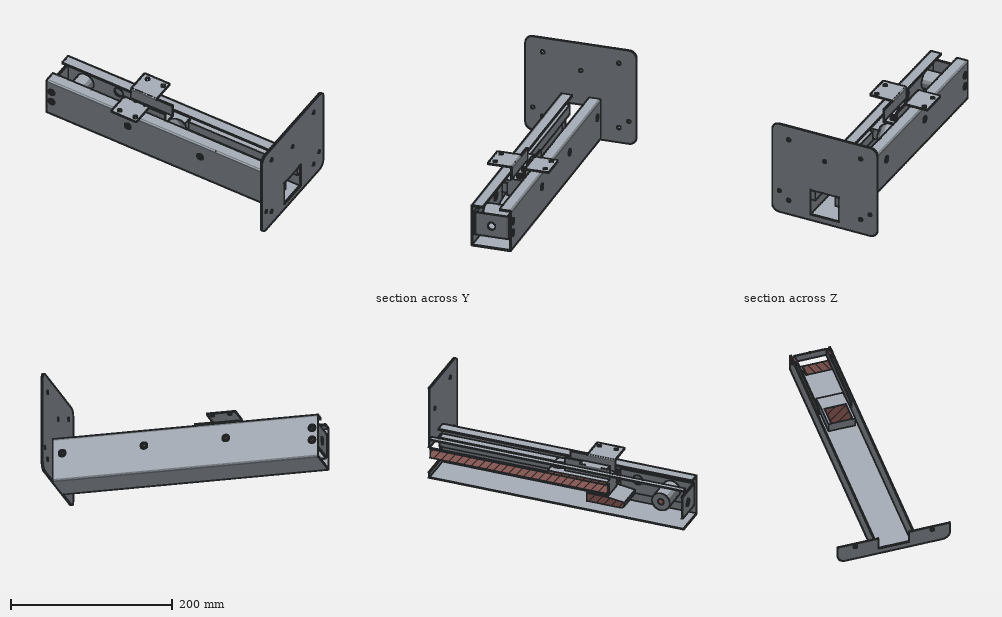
import cadquery as cq
import math

channel_length = 340.0
channel_width = 52.5
channel_height = 55.9
sheet = 2.0
channel_bend = 2.0
slot_width = 22.0

plate_width = 146.0
plate_height = 128.0
plate_thickness = 2.0
plate_corner = 10.0
window_width = 40.0
window_bottom = 8.0
window_top = 44.0
mount_hole = 5.0
mount_spacing_y = 100.0
mount_heights = (20.3, 108.6)
side_hole = 4.5
side_spacing_y = 126.0
side_hole_height = 30.8
top_hole_height = 90.7

channel_inside = channel_width / 2 - sheet
rail_inner = 14.0
rail_start = 101.0
rail_bottom = 29.0
rail_top = 42.0

screw_head = 9.0
screw_core = 6.5
screw_socket = 4.0
screw_groove = 0.4
socket_depth = 1.2
rail_screw_height = (rail_bottom + rail_top) / 2
end_screw_x = 7.3
screw_places = [(118.0, rail_screw_height), (223.0, rail_screw_height), (328.0, rail_screw_height),
                (end_screw_x, 22.5), (end_screw_x, 38.3)]

cap_front = 1.0
cap_bottom = 15.5
cap_top = 46.0
cap_half_width = 22.2
cap_bend = 2.0
cheek_end = 100.0
cable_hole = 10.0
cable_hole_height = 30.0
cheek_hole = 13.0
cheek_hole_x = 76.5
cheek_hole_height = 35.0
pad_front = cap_front + cap_bend
pad_end = 14.0
pad_bend = 1.0
roller_radius = 12.0
roller_x = 30.4
roller_z = 33.5
roller_width = 34.0
axle_radius = 4.0

block_start = 102.0
block_end = 182.0
block_top = cap_top
block_thickness = 14.0
block_lip_width = 35.0
bore_radius = 7.8
bore_edge_x = 161.5
bore_angle = 45.0
bore_length = 80.0

tongue_start = 79.0
tongue_end = 130.0
tongue_bottom = 13.0
tongue_width = 35.0
tongue_nose_height = 9.0
tongue_rise = 3.0
tongue_nose_radius = 6.0

hat_sheet = 2.0
hat_bend = 1.9
hat_half_width = 9.8
hat_length = 60.0
hat_web_top = 64.0
wing_thickness = 1.5
wing_top = 65.0
wing_length = 37.0
wing_span = 80.0
wing_corner = 1.5
wing_hole = 5.0
wing_hole_x = (110.7, 133.4)
wing_hole_spacing = 66.0

bolt_places = (111.6, 131.4, 151.2)
washer_diameter = 10.0
washer_height = 1.0
bolt_head = 8.0
bolt_head_height = 2.0
bolt_socket = 4.0


def box(x0, x1, y0, y1, z0, z1):
    """Block between two opposite corners."""
    return cq.Workplane("XY").box(x1 - x0, y1 - y0, z1 - z0, centered=False).translate((x0, y0, z0))


def cylinder_y(x, z, diameter, y0, y1):
    """Cylinder along Y between y0 and y1."""
    direction = cq.Vector(0, 1, 0)
    return cq.Workplane(cq.Solid.makeCylinder(diameter / 2, y1 - y0, cq.Vector(x, y0, z), direction))


def cylinder_x(y, z, diameter, x0, x1):
    """Cylinder along X between x0 and x1."""
    direction = cq.Vector(1, 0, 0)
    return cq.Workplane(cq.Solid.makeCylinder(diameter / 2, x1 - x0, cq.Vector(x0, y, z), direction))


def cylinder_z(x, y, diameter, z0, z1):
    """Cylinder along Z between z0 and z1."""
    return cq.Workplane(cq.Solid.makeCylinder(diameter / 2, z1 - z0, cq.Vector(x, y, z0)))


def make_channel():
    """C-channel that is open along the middle of its top."""
    half = channel_width / 2
    channel = box(0, channel_length, -half, half, 0, channel_height).edges("|X").fillet(channel_bend)
    cavity = box(0, channel_length, -channel_inside, channel_inside, sheet, channel_height - sheet)
    slot = box(0, channel_length, -slot_width / 2, slot_width / 2, sheet, channel_height)
    return channel.cut(cavity).cut(slot)


def make_wall_plate():
    """Rounded plate with mounting holes and a window into the channel."""
    back = channel_length + plate_thickness
    half = plate_width / 2
    plate = box(channel_length, back, -half, half, 0, plate_height).edges("|X").fillet(plate_corner)
    window_half = window_width / 2
    plate = plate.cut(box(channel_length, back, -window_half, window_half, window_bottom, window_top))
    plate = plate.cut(cylinder_x(0, top_hole_height, side_hole, channel_length, back))
    for side in (-1, 1):
        y_side = side * side_spacing_y / 2
        plate = plate.cut(cylinder_x(y_side, side_hole_height, side_hole, channel_length, back))
        for height in mount_heights:
            y_mount = side * mount_spacing_y / 2
            plate = plate.cut(cylinder_x(y_mount, height, mount_hole, channel_length, back))
    return plate


def outer_cut_range(side, depth):
    """Y range that reaches a given depth into one outer side of the channel."""
    face = channel_width / 2
    if side > 0:
        return face - depth, face
    return -face, depth - face


def cut_screw_heads(body):
    """Flush screw heads on both sides: a ring groove around a socket."""
    for side in (-1, 1):
        groove_range = outer_cut_range(side, screw_groove)
        socket_range = outer_cut_range(side, socket_depth)
        for x, z in screw_places:
            core = cylinder_y(x, z, screw_core, *groove_range)
            ring = cylinder_y(x, z, screw_head, *groove_range).cut(core)
            body = body.cut(ring).cut(cylinder_y(x, z, screw_socket, *socket_range))
    return body


def make_housing():
    """Channel, wall plate and the two guide rails along the inner walls."""
    rail = box(rail_start, channel_length, rail_inner, channel_inside, rail_bottom, rail_top)
    housing = make_channel().union(make_wall_plate()).union(rail).union(rail.mirror("XZ"))
    return cut_screw_heads(housing)


def make_end_frame():
    """U-shaped cap with side pads against the channel, and the roller on its axle."""
    frame = box(cap_front, cheek_end, -cap_half_width, cap_half_width, cap_bottom, cap_top)
    frame = frame.edges("|Z and <X").fillet(cap_bend)
    inner_half = cap_half_width - sheet
    frame = frame.cut(box(cap_front + sheet, cheek_end, -inner_half, inner_half, cap_bottom, cap_top))

    pad = box(pad_front, pad_end, inner_half, channel_inside, cap_bottom - pad_bend, cap_top)
    pad = pad.edges("|X and >Y").fillet(pad_bend)
    frame = frame.union(pad).union(pad.mirror("XZ"))

    frame = frame.cut(cylinder_x(0, cable_hole_height, cable_hole, cap_front, cap_front + sheet))
    for y0, y1 in ((-cap_half_width, -inner_half), (inner_half, cap_half_width)):
        frame = frame.cut(cylinder_y(cheek_hole_x, cheek_hole_height, cheek_hole, y0, y1))

    roller = cylinder_y(roller_x, roller_z, 2 * roller_radius, -roller_width / 2, roller_width / 2)
    axle = cylinder_y(roller_x, roller_z, 2 * axle_radius, -cap_half_width, cap_half_width)
    return frame.union(roller).union(axle)


def make_block():
    """Carriage block between the rails, with a top lip over them and a bore sloping down through its end."""
    bottom = block_top - block_thickness
    block = box(block_start, block_end, -rail_inner, rail_inner, bottom, block_top)
    lip_half = block_lip_width / 2
    block = block.union(box(block_start, block_end, -lip_half, lip_half, rail_top, block_top))
    slope = math.radians(bore_angle)
    along = cq.Vector(math.cos(slope), 0, -math.sin(slope))
    across = cq.Vector(math.sin(slope), 0, math.cos(slope))
    axis_point = cq.Vector(bore_edge_x, 0, block_top) + across * bore_radius
    bore_start = axis_point - along * (bore_length / 2)
    return block.cut(cq.Workplane(cq.Solid.makeCylinder(bore_radius, bore_length, bore_start, along)))


def make_tongue():
    """Low tongue under the rails, with a rounded nose and a sloped top, hung from the block."""
    nose_top = tongue_bottom + tongue_nose_height
    ramp_top = nose_top + tongue_rise
    tongue = (cq.Workplane("XZ")
              .moveTo(tongue_start, tongue_bottom)
              .lineTo(tongue_end, tongue_bottom)
              .lineTo(tongue_end, ramp_top)
              .lineTo(block_start, ramp_top)
              .lineTo(tongue_start, nose_top)
              .close()
              .extrude(tongue_width / 2, both=True))
    tongue = tongue.edges("|Y and <X and <Z").fillet(tongue_nose_radius)
    post = box(block_start, tongue_end, -rail_inner, rail_inner, tongue_bottom, block_top - block_thickness)
    return tongue.union(post)


def make_hat():
    """Hat bracket: a U strip with two drilled wings along its first part."""
    end = block_start + hat_length
    wing_end = block_start + wing_length
    inner_half = hat_half_width - hat_sheet
    wing_bottom = wing_top - wing_thickness
    floor_top = block_top + hat_sheet
    web_floor = box(block_start, end, -hat_half_width, hat_half_width, block_top, floor_top)
    web = box(wing_end, end, -hat_half_width, hat_half_width, floor_top, hat_web_top)
    web = web.cut(box(wing_end, end, -inner_half, inner_half, floor_top, hat_web_top))

    wings = box(block_start, wing_end, -wing_span / 2, wing_span / 2, wing_bottom, wing_top)
    wings = wings.edges("|Z").fillet(wing_corner)
    walls = box(block_start, wing_end, -hat_half_width, hat_half_width, floor_top, wing_top)
    opening = box(block_start, wing_end, -inner_half, inner_half, floor_top, wing_top)
    folded = wings.union(walls).cut(opening)
    bend_edges = cq.selectors.BoxSelector((block_start, -hat_half_width, wing_top - wing_thickness / 2),
                                          (wing_end, hat_half_width, wing_top + wing_thickness / 2))
    folded = folded.edges("|X").edges(bend_edges).fillet(hat_bend)
    hat = folded.union(web_floor).union(web)
    for x in wing_hole_x:
        for side in (-1, 1):
            y = side * wing_hole_spacing / 2
            hat = hat.cut(cylinder_z(x, y, wing_hole, wing_bottom, wing_top))
    return hat


def make_bolt(x):
    """Washer and socket head seated on the hat bracket."""
    seat = block_top + hat_sheet
    head_base = seat + washer_height
    head_top = head_base + bolt_head_height
    bolt = cylinder_z(x, 0, washer_diameter, seat, head_base)
    bolt = bolt.union(cylinder_z(x, 0, bolt_head, head_base, head_top))
    return bolt.cut(cylinder_z(x, 0, bolt_socket, head_base, head_top))


def make_carriage():
    """Sliding carriage with its bracket bolted on."""
    carriage = make_block().union(make_tongue()).union(make_hat())
    for x in bolt_places:
        carriage = carriage.union(make_bolt(x))
    return carriage


housing = make_housing()
end_frame = make_end_frame()
carriage = make_carriage()

result = cq.Compound.makeCompound([
    housing.solids().val(),
    end_frame.solids().val(),
    carriage.solids().val(),
])